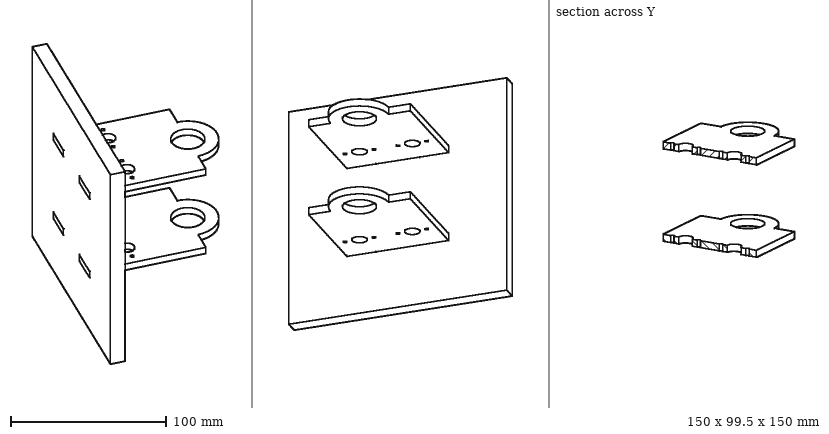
import cadquery as cq

plate_side = 150.0
plate_thickness = 10.0

bracket_width = 69.9
bracket_thickness = 5.0
bracket_spacing = 62.1
total_depth = 99.5
ring_radius = 20.0
ring_hole_radius = 11.0

tab_width = 20.0
tab_offset = (bracket_width - tab_width) / 2

group_offset = 18.2
group_setback = 48.0
large_hole_radius = 5.0
small_hole_radius = 1.12
small_hole_offset = 9.9

ring_center_y = total_depth - ring_radius
group_y = ring_center_y - group_setback
shelf_length = ring_center_y - plate_thickness
bracket_heights = [-bracket_spacing / 2, bracket_spacing / 2]


def make_tabs(z):
    """Pair of tabs running through the plate, used for the slots as well."""
    return (
        cq.Workplane("XY", origin=(0, plate_thickness / 2, z))
        .pushPoints([(-tab_offset, 0), (tab_offset, 0)])
        .box(tab_width, plate_thickness, bracket_thickness)
    )


def make_plate():
    """Square plate with two slots for each bracket."""
    plate = cq.Workplane("XY", origin=(0, plate_thickness / 2, 0)).box(
        plate_side, plate_thickness, plate_side
    )
    for z in bracket_heights:
        plate = plate.cut(make_tabs(z))
    return plate


def make_cylinders(z, points, radius):
    """Vertical cylinders through the thickness of a bracket centered at height z."""
    return (
        cq.Workplane("XY", origin=(0, 0, z - bracket_thickness / 2))
        .pushPoints(points)
        .circle(radius)
        .extrude(bracket_thickness)
    )


def make_bracket(z):
    """Shelf with a rounded ring end, mounting holes and two tabs."""
    ring_center = [(0, ring_center_y)]
    large_holes = [(side * group_offset, group_y) for side in (-1, 1)]
    small_holes = [
        (x + side * small_hole_offset, y) for x, y in large_holes for side in (-1, 1)
    ]

    shelf = cq.Workplane("XY", origin=(0, plate_thickness + shelf_length / 2, z)).box(
        bracket_width, shelf_length, bracket_thickness
    )
    bracket = shelf.union(make_cylinders(z, ring_center, ring_radius)).union(make_tabs(z))
    bracket = bracket.cut(make_cylinders(z, ring_center, ring_hole_radius))
    bracket = bracket.cut(make_cylinders(z, large_holes, large_hole_radius))
    return bracket.cut(make_cylinders(z, small_holes, small_hole_radius))


plate = make_plate()
brackets = [make_bracket(z) for z in bracket_heights]

result = cq.Compound.makeCompound([plate.solids().val(), *[bracket.solids().val() for bracket in brackets]])